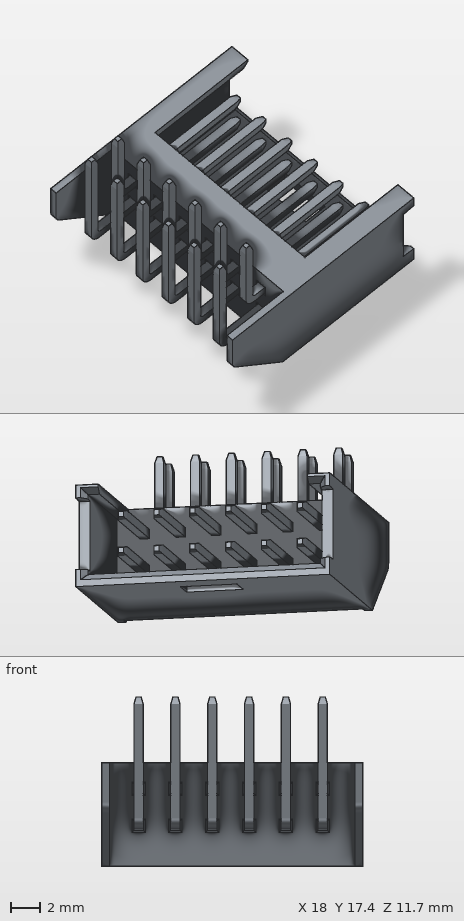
import cadquery as cq
import math

WIDTH = 18.0
HEIGHT = 7.15
BACK_Y = 12.0
PIN_WALL = 3.1
SIDE_WALL = 1.58
FLOOR = 0.9

UNDERCUT_WALL = 0.77
LIP_BOTTOM = 6.52
MOUTH_BEVEL = 0.43

WING_REACH = 5.4
WING_THICKNESS = 0.54
WING_SLOPE_START = 0.6
WING_SLOPE_ANGLE = 39.4
WING_NOSE_RADIUS = 0.9

NOTCH_DEPTH = 1.0
NOTCH_BOTTOM = 1.2
NOTCH_TOP = 6.25
NOTCH_TAPER = 0.07

WINDOW_WIDTH = 4.0
WINDOW_FRONT = 8.4
WINDOW_BACK = 10.28

PIN_COLUMNS = 6
PITCH = 2.54
PIN_OFFSET_X = -0.1
PIN_SIZE = 0.65
PIN_TOP = 11.68
PIN_BACK_Y = 10.19
LOWER_PIN_Z = 2.8
INNER_PIN_Y = -1.4
BEND_INNER_RADIUS = 0.29
BEND_OUTER_RADIUS = 0.83
TIP_LENGTH = 0.5
TIP_SIZE = 0.36
POCKET_SIZE = 0.94
POCKET_DEPTH = 0.15

HALF_WIDTH = WIDTH / 2
PIN_SECTION = (PIN_SIZE, PIN_SIZE)
PIN_XS = [PIN_OFFSET_X + (i - (PIN_COLUMNS - 1) / 2) * PITCH for i in range(PIN_COLUMNS)]
PIN_ROWS = [
    (INNER_PIN_Y, LOWER_PIN_Z + PITCH),
    (INNER_PIN_Y - PITCH, LOWER_PIN_Z),
]


def box(x0, x1, y0, y1, z0, z1):
    return cq.Workplane("XY").box(x1 - x0, y1 - y0, z1 - z0, centered=False).translate((x0, y0, z0))


def extrude_along_x(points, width):
    """Extrude a (Y, Z) outline symmetrically about X = 0."""
    return cq.Workplane("YZ").polyline(points).close().extrude(width / 2, both=True)


def frustum(start_center, direction, start, end, length):
    """Rectangular taper from a start section to an end section, each given as two sides."""
    plane = cq.Plane(origin=start_center, xDir=(1, 0, 0), normal=direction)
    return cq.Workplane(plane).rect(*start).workplane(offset=length).rect(*end).loft(combine=True)


def housing_blank():
    nose_z = (WING_REACH - WING_SLOPE_START) * math.tan(math.radians(WING_SLOPE_ANGLE))
    side_outline = [
        (BACK_Y, 0),
        (BACK_Y, HEIGHT),
        (-WING_REACH, HEIGHT),
        (-WING_REACH, nose_z),
        (-WING_SLOPE_START, 0),
    ]
    blank = extrude_along_x(side_outline, WIDTH)
    nose_edge = cq.selectors.NearestToPointSelector((0, -WING_REACH, nose_z))
    blank = blank.edges(nose_edge).fillet(WING_NOSE_RADIUS)
    inner = HALF_WIDTH - WING_THICKNESS
    return blank.cut(box(-inner, inner, -WING_REACH, 0, 0, HEIGHT))


def cavity():
    slot_half = HALF_WIDTH - SIDE_WALL
    undercut_half = HALF_WIDTH - UNDERCUT_WALL
    slot = box(-slot_half, slot_half, PIN_WALL, BACK_Y, FLOOR, HEIGHT)
    undercut = box(-undercut_half, undercut_half, PIN_WALL, BACK_Y, FLOOR, LIP_BOTTOM)
    width = 2 * undercut_half
    height = LIP_BOTTOM - FLOOR
    mouth = frustum(
        start_center=(0, BACK_Y - MOUTH_BEVEL, (FLOOR + LIP_BOTTOM) / 2),
        direction=(0, 1, 0),
        start=(width, height),
        end=(width + 2 * MOUTH_BEVEL, height + 2 * MOUTH_BEVEL),
        length=MOUTH_BEVEL,
    )
    return slot.union(undercut).union(mouth)


def back_notch():
    outline = [
        (BACK_Y, NOTCH_BOTTOM),
        (BACK_Y - NOTCH_DEPTH, NOTCH_BOTTOM + NOTCH_TAPER),
        (BACK_Y - NOTCH_DEPTH, NOTCH_TOP - NOTCH_TAPER),
        (BACK_Y, NOTCH_TOP),
    ]
    return extrude_along_x(outline, WIDTH)


def window():
    half = WINDOW_WIDTH / 2
    return box(-half, half, WINDOW_FRONT, WINDOW_BACK, 0, FLOOR)


def pin_pocket(x, leg_z):
    """Funnel around a pin where it leaves the front of the pin wall."""
    mouth = (POCKET_SIZE, POCKET_SIZE)
    return frustum((x, 0, leg_z), (0, 1, 0), mouth, PIN_SECTION, POCKET_DEPTH)


def pin_tip(base_center, direction):
    return frustum(base_center, direction, PIN_SECTION, (TIP_SIZE, TIP_SIZE), TIP_LENGTH)


def bent_pin(x, leg_y, leg_z):
    """L-shaped pin: horizontal leg into the cavity, vertical leg upward."""
    half = PIN_SIZE / 2
    back = PIN_BACK_Y - TIP_LENGTH
    top = PIN_TOP - TIP_LENGTH
    outer_corner = (leg_y - half, leg_z - half)
    inner_corner = (leg_y + half, leg_z + half)
    outline = [
        (back, leg_z - half),
        outer_corner,
        (leg_y - half, top),
        (leg_y + half, top),
        inner_corner,
        (back, leg_z + half),
    ]
    pin = extrude_along_x(outline, PIN_SIZE).translate((x, 0, 0))
    for corner, radius in [(outer_corner, BEND_OUTER_RADIUS), (inner_corner, BEND_INNER_RADIUS)]:
        pin = pin.edges(cq.selectors.NearestToPointSelector((x, *corner))).fillet(radius)
    back_tip = pin_tip((x, back, leg_z), (0, 1, 0))
    top_tip = pin_tip((x, leg_y, top), (0, 0, 1))
    return pin.union(back_tip).union(top_tip)


result = housing_blank().cut(cavity()).cut(back_notch()).cut(window())

for leg_y, leg_z in PIN_ROWS:
    for x in PIN_XS:
        result = result.cut(pin_pocket(x, leg_z)).union(bent_pin(x, leg_y, leg_z))